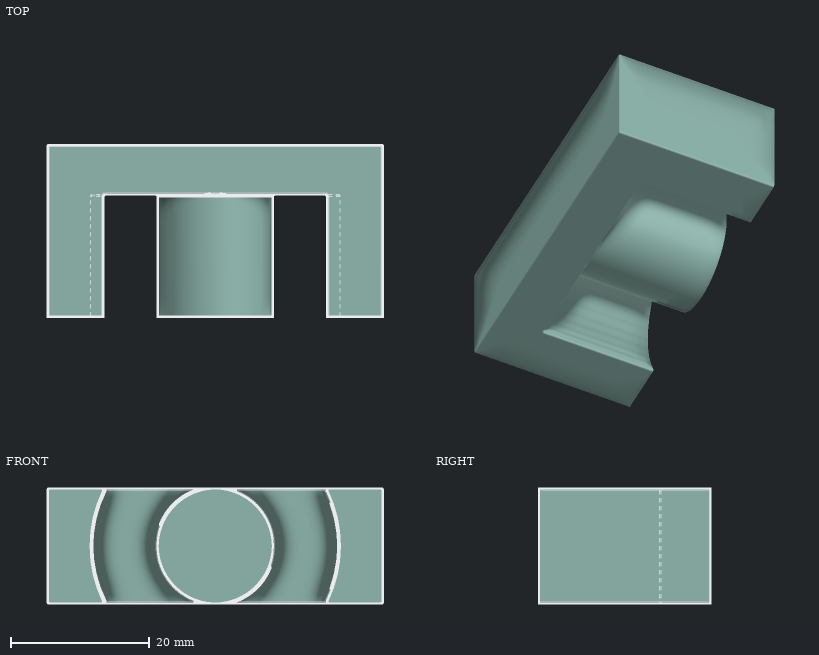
import cadquery as cq

length = 48.5
depth = 24.9
height = 16.7
web_thickness = 7.2
window_radius = 18.05
post_radius = height / 2
back_edge_radius = 0.2
edge_radius = 0.3
root_radius = 0.25

floor_y = depth / 2 - web_thickness
leg_length = depth - web_thickness


def cylinder_from_floor(radius):
    """Cylinder along Y, reaching from the web floor to the leg ends."""
    return cq.Workplane("XZ", origin=(0, floor_y, 0)).circle(radius).extrude(leg_length)


def rounded_block():
    """Block with rounded long edges and back edges, and a sharp front face."""
    block = cq.Workplane("XY").box(length, depth, height)
    return block.edges("|Y").fillet(edge_radius).faces(">Y").edges().fillet(back_edge_radius)


def window():
    """Cavity between the legs, with a rounded rim at its floor."""
    return cylinder_from_floor(window_radius).faces(">Y").edges().fillet(root_radius)


def round_window_edges(body):
    """Round the window edges on the top and bottom faces."""
    rim_zone = cq.selectors.BoxSelector(
        (-window_radius, -depth, -height),
        (window_radius, floor_y + edge_radius, height),
    )
    outer_faces = body.faces("<Z or >Z")
    return body.newObject(outer_faces.edges(rim_zone).vals()).fillet(edge_radius)


def post():
    """Center post with a flared root, trimmed to the block height."""
    shaft = cylinder_from_floor(post_radius)
    flare_profile = (
        cq.Workplane("XY")
        .moveTo(0, floor_y)
        .lineTo(post_radius + root_radius, floor_y)
        .radiusArc((post_radius, floor_y - root_radius), -root_radius)
        .lineTo(0, floor_y - root_radius)
        .close()
    )
    flare = flare_profile.revolve(360, (0, 0, 0), (0, 1, 0))
    embedded_root = (
        cq.Workplane("XZ", origin=(0, floor_y + web_thickness / 2, 0))
        .circle(post_radius)
        .extrude(web_thickness / 2)
    )
    envelope = cq.Workplane("XY").box(length, depth, height)
    return shaft.union(flare).union(embedded_root).intersect(envelope)


core = round_window_edges(rounded_block().cut(window()))
result = core.union(post())